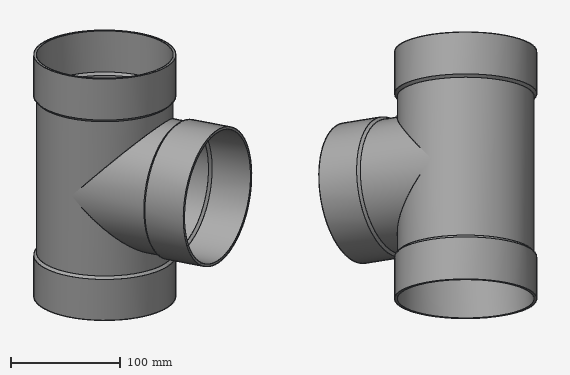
import cadquery as cq

run_length = 235.0
branch_reach = 117.5
socket_diameter = 130.0
pipe_diameter = 125.0
bore_diameter = 120.0
socket_depth = 40.0

socket_radius = socket_diameter / 2
pipe_radius = pipe_diameter / 2
bore_radius = bore_diameter / 2
taper_length = socket_radius - pipe_radius


def socket_profile(reach, narrow_radius, wide_radius):
    """Radius and height points from the pipe up to the socket end face."""
    socket_start = reach - socket_depth
    return [
        (narrow_radius, socket_start - taper_length),
        (wide_radius, socket_start),
        (wide_radius, reach),
    ]


def revolve_about_z(outline):
    return cq.Workplane("XZ").polyline(outline).close().revolve(360, (0, 0, 0), (0, 1, 0))


def tee(narrow_radius, wide_radius):
    """Solid tee: a pipe of narrow radius with ends of wide radius."""
    run_reach = run_length / 2
    upper_end = socket_profile(run_reach, narrow_radius, wide_radius)
    lower_end = [(radius, -height) for radius, height in reversed(upper_end)]
    run = revolve_about_z([(0, -run_reach)] + lower_end + upper_end + [(0, run_reach)])

    branch_end = socket_profile(branch_reach, narrow_radius, wide_radius)
    branch = revolve_about_z([(0, 0), (narrow_radius, 0)] + branch_end + [(0, branch_reach)])
    return run.union(branch.rotate((0, 0, 0), (0, 1, 0), 90))


outside = tee(pipe_radius, socket_radius)
hollow = tee(bore_radius, pipe_radius)
result = outside.cut(hollow)